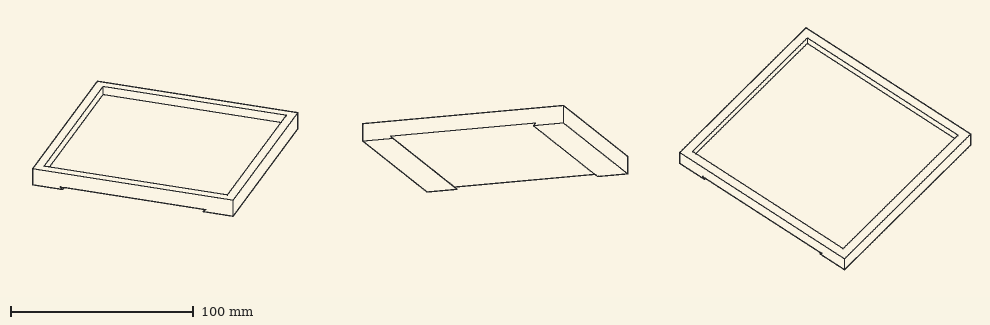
import cadquery as cq

LENGTH_X = 116.0
WIDTH_Y = 110.0
HEIGHT = 10.0

RIM_WIDTH = 5.0
POCKET_DEPTH = 5.0

GROOVE_DEPTH = 1.4
GROOVE_ROOF_WIDTH = 84.0
GROOVE_MOUTH_WIDTH = GROOVE_ROOF_WIDTH - 2 * GROOVE_DEPTH


def make_body():
    return cq.Workplane("XY").box(LENGTH_X, WIDTH_Y, HEIGHT, centered=(True, True, False))


def make_pocket():
    pocket_x = LENGTH_X - 2 * RIM_WIDTH
    pocket_y = WIDTH_Y - 2 * RIM_WIDTH
    floor_z = HEIGHT - POCKET_DEPTH
    return (
        cq.Workplane("XY", origin=(0, 0, floor_z))
        .rect(pocket_x, pocket_y)
        .extrude(POCKET_DEPTH)
    )


def make_dovetail_groove():
    half_mouth = GROOVE_MOUTH_WIDTH / 2
    half_roof = GROOVE_ROOF_WIDTH / 2
    section = [
        (-half_mouth, 0),
        (-half_roof, GROOVE_DEPTH),
        (half_roof, GROOVE_DEPTH),
        (half_mouth, 0),
    ]
    return cq.Workplane("XZ").polyline(section).close().extrude(WIDTH_Y / 2, both=True)


result = make_body().cut(make_pocket()).cut(make_dovetail_groove())